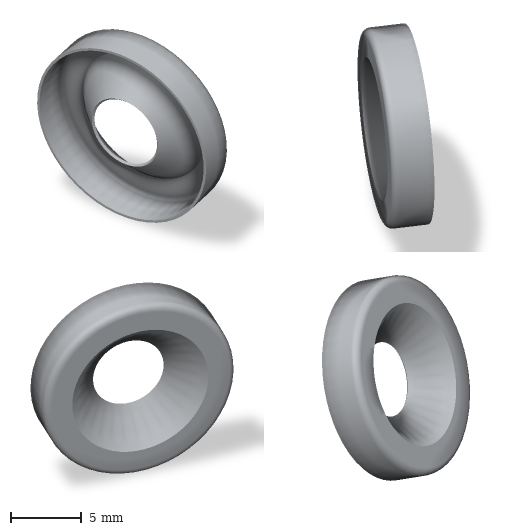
import cadquery as cq
import math

outer_radius = 7.15
depth = 3.0
sheet = 0.2
outer_bend = 0.5
inner_bend = outer_bend - sheet

cone_base_radius = 5.19
cone_tip_radius = 2.79
tip_setback = 0.4

rim_y = -depth / 2
back_y = depth / 2
floor_y = back_y - sheet
tip_y = rim_y + tip_setback
inner_radius = outer_radius - sheet

cone_angle = math.atan2(floor_y - tip_y, cone_base_radius - cone_tip_radius)
hole_radius = cone_tip_radius - sheet * math.sin(cone_angle)
hole_y = tip_y + sheet * math.cos(cone_angle)
cone_back_radius = hole_radius + (back_y - hole_y) / math.tan(cone_angle)

bend_mid = math.sin(math.pi / 4)
bend_radius_centre = outer_radius - outer_bend
bend_y_centre = back_y - outer_bend


def bend_midpoint(radius):
    """Middle of a quarter arc about the shared bend centre."""
    return (bend_radius_centre + radius * bend_mid, bend_y_centre + radius * bend_mid)


section = (
    cq.Workplane("ZY")
    .moveTo(outer_radius, rim_y)
    .lineTo(outer_radius, bend_y_centre)
    .threePointArc(bend_midpoint(outer_bend), (bend_radius_centre, back_y))
    .lineTo(cone_back_radius, back_y)
    .lineTo(hole_radius, hole_y)
    .lineTo(cone_tip_radius, tip_y)
    .lineTo(cone_base_radius, floor_y)
    .lineTo(bend_radius_centre, floor_y)
    .threePointArc(bend_midpoint(inner_bend), (inner_radius, bend_y_centre))
    .lineTo(inner_radius, rim_y)
    .close()
)

result = section.revolve(360, (0, 0, 0), (0, 1, 0))